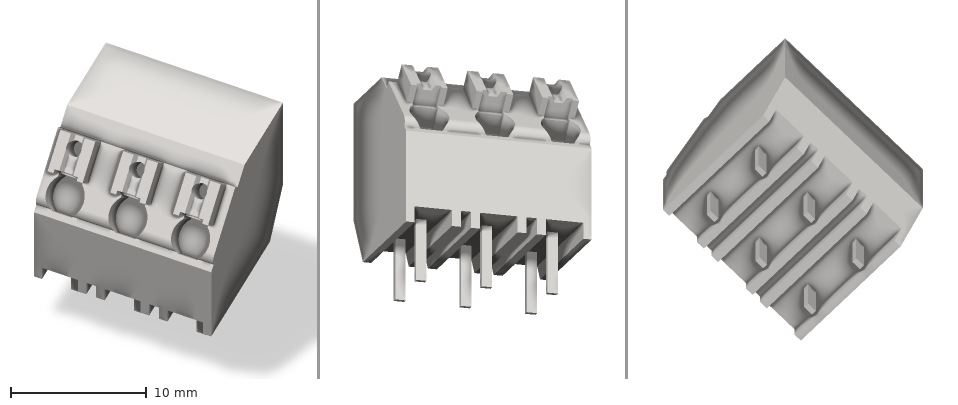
import cadquery as cq
import math

poles = 3
pitch = 5.08
total_height = 16.66
pole_centers = [(i - (poles - 1) / 2) * pitch for i in range(poles)]
gap_centers = [(i - (poles - 2) / 2) * pitch for i in range(poles - 1)]

housing_width = 14.36
housing_depth = 12.7
foot_bottom = 3.48
body_bottom = 4.71
housing_top = 16.4
front_top = 10.51
rear_chamfer_depth = 2.3
rear_chamfer_height = rear_chamfer_depth * math.tan(math.radians(60))
pole_channel_width = 2.9
gap_channel_width = 0.78

pad_height = 0.58
pad_flat_length = 5.23
pad_edge_radius = 0.8

button_width = 2.83
button_length = 3.2
button_height = 2.1
sunk_depth = 1.3
groove_depth = 0.47
groove_top_width = 1.13
groove_bottom_width = 0.63
driver_hole_diameter = 1.2
driver_hole_depth = 1.5
driver_hole_place = 1
end_notch_width = 1.88
end_notch_depth = 0.3
end_notch_floor = 0.33

entry_width = 3
entry_length = 2.88
entry_widest_place = 1.47
entry_rear_side = 0.28
entry_rear_width = 1.97
entry_front_width = 1.57

pin_width = 0.8
pin_thickness = 0.4
pin_rows = [3.05, 8.05]

diagonal = math.sqrt(0.5)
notch_z = total_height - button_height * diagonal
notch_y = notch_z - front_top


def slope_point(down, out):
    """(Y, Z) of a point lying down the slope and out from its base plane."""
    return (notch_y - (down + out) * diagonal, notch_z + (out - down) * diagonal)


def slope_plane(x, down, out):
    """Plane parallel to the slope: local y runs down the slope, the normal points out."""
    return cq.Plane(origin=(x, *slope_point(down, out)), xDir=(-1, 0, 0), normal=(0, -1, 1))


def slope_block(x, width, down_start, down_end, out_start, out_end):
    """Block square to the slope and centred on x."""
    return cq.Workplane(slope_plane(x, down_start, out_start)).box(
        width, down_end - down_start, out_end - out_start, centered=(True, False, False)
    )


def button_blank(x):
    return slope_block(x, button_width, 0, button_length, -sunk_depth, button_height)


def wire_entry(x):
    """Volume of one wire entry, running out from its flat floor."""
    rear = entry_rear_width / 2
    middle = entry_width / 2
    front = entry_front_width / 2
    return (
        cq.Workplane(slope_plane(x, button_length, -sunk_depth))
        .moveTo(-rear, 0)
        .lineTo(rear, 0)
        .lineTo(rear, entry_rear_side)
        .threePointArc((middle, entry_widest_place), (front, entry_length))
        .lineTo(-front, entry_length)
        .threePointArc((-middle, entry_widest_place), (-rear, entry_rear_side))
        .close()
        .extrude(sunk_depth + button_height)
    )


def bottom_channel(x, width):
    """Channel between two feet, open at the front and rear."""
    height = body_bottom - foot_bottom
    channel = cq.Workplane("XY").box(width, housing_depth, height, centered=(True, False, False))
    return channel.translate((x, 0, foot_bottom))


def make_housing():
    arc_center_out = pad_height - pad_edge_radius
    arc_end_down = pad_flat_length + math.sqrt(pad_edge_radius**2 - arc_center_out**2)
    arc_middle = slope_point(
        pad_flat_length + pad_edge_radius * diagonal,
        arc_center_out + pad_edge_radius * diagonal,
    )
    housing = (
        cq.Workplane("YZ")
        .moveTo(0, foot_bottom)
        .lineTo(0, front_top)
        .lineTo(*slope_point(arc_end_down, 0))
        .threePointArc(arc_middle, slope_point(pad_flat_length, pad_height))
        .lineTo(*slope_point(0, pad_height))
        .lineTo(*slope_point(0, 0))
        .lineTo(housing_top - front_top, housing_top)
        .lineTo(housing_depth, housing_top)
        .lineTo(housing_depth, foot_bottom + rear_chamfer_height)
        .lineTo(housing_depth - rear_chamfer_depth, foot_bottom)
        .close()
        .extrude(housing_width / 2, both=True)
    )
    for x in pole_centers:
        housing = housing.cut(bottom_channel(x, pole_channel_width))
        housing = housing.cut(button_blank(x))
        housing = housing.cut(wire_entry(x))
    for x in gap_centers:
        housing = housing.cut(bottom_channel(x, gap_channel_width))
    return housing


def make_button(x):
    end_plane = cq.Plane(
        origin=(x, *slope_point(0, button_height)), xDir=(1, 0, 0), normal=(0, -1, -1)
    )
    groove = (
        cq.Workplane(end_plane)
        .polyline([
            (-groove_top_width / 2, 0),
            (groove_top_width / 2, 0),
            (groove_bottom_width / 2, -groove_depth),
            (-groove_bottom_width / 2, -groove_depth),
        ])
        .close()
        .extrude(button_length)
    )
    groove_floor = button_height - groove_depth
    driver_hole = (
        cq.Workplane(slope_plane(x, driver_hole_place, groove_floor - driver_hole_depth))
        .circle(driver_hole_diameter / 2)
        .extrude(driver_hole_depth + groove_depth)
    )
    end_notch = slope_block(
        x, end_notch_width, button_length - end_notch_depth, button_length, end_notch_floor, button_height
    )
    return button_blank(x).cut(groove).cut(driver_hole).cut(end_notch)


def make_pin(x, y):
    pin = cq.Workplane("XY").box(pin_width, pin_thickness, body_bottom, centered=(True, True, False))
    return pin.translate((x, y, 0))


housing = make_housing()
buttons = [make_button(x) for x in pole_centers]
pins = [make_pin(x, y) for x in pole_centers for y in pin_rows]

bodies = [housing, *buttons, *pins]
result = cq.Compound.makeCompound([body.solids().val() for body in bodies])